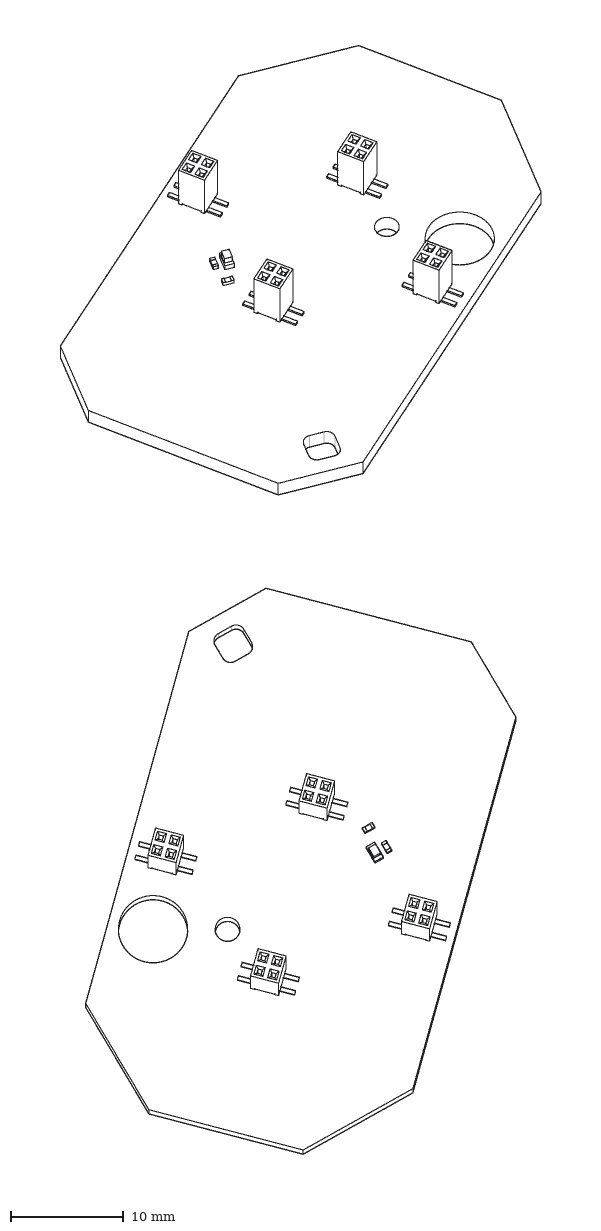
import cadquery as cq
BOARD_WIDTH = 30.0
BOARD_LENGTH = 48.65
BOARD_THICKNESS = 1.6
REAR_CORNER_CUT = 7.95
FRONT_CORNER_CUT = 5.6

SEATING_GAP = 0.05
SEAT_HEIGHT = BOARD_THICKNESS + SEATING_GAP

LARGE_HOLE_DIAMETER = 6.15
LARGE_HOLE_CENTER = (11.0, 8.3)
SMALL_HOLE_DIAMETER = 2.2
SMALL_HOLE_CENTER = (4.6, 6.6)
DIAMOND_SIDE = 2.9
DIAMOND_CORNER_RADIUS = 0.8
DIAMOND_CENTER = (10.9, -18.65)

OVERALL_HEIGHT = 6.45
CROSS_CENTER = (-0.05, 1.8)
CROSS_REACH_X = 11.6
CROSS_REACH_Y = 8.25
HEADER_WIDTH = 2.6
HEADER_STANDOFF = 0.25
CHANNEL_WIDTH = 1.85
CHANNEL_DEPTH = 0.15
CONTACT_PITCH = 1.25
ENTRY_WIDTH = 0.85
ENTRY_DEPTH = 0.3
BORE_WIDTH = 0.4
BORE_DEPTH = 2.9
LEAD_SPAN = 5.25
LEAD_WIDTH = 0.4
LEAD_THICKNESS = 0.2
LEG_INNER_X = 0.6

LED_CENTER = (-6.2, -3.45)
LED_ANGLE = -45
LED_BASE_LENGTH = 1.55
LED_BASE_WIDTH = 0.88
LED_BASE_HEIGHT = 0.55
LED_LENS_LENGTH = 0.9
LED_LENS_WIDTH = 0.75
LED_HEIGHT = 1.1
CHIP_PLACES = [(-7.05, -4.25, -45), (-5.05, -5.5, 45)]
CHIP_LENGTH = 1.0
CHIP_WIDTH = 0.5
CHIP_HEIGHT = 0.4
TERMINAL_LENGTH = 0.25
TERMINAL_STEP = 0.05


def box_on(length, width, height, base=0.0):
    """Box centred in X and Y with its underside at the given height."""
    return cq.Workplane("XY", origin=(0, 0, base)).box(
        length, width, height, centered=(True, True, False)
    )


def make_board():
    side_x = BOARD_WIDTH / 2
    end_y = BOARD_LENGTH / 2
    rear_x = side_x - REAR_CORNER_CUT
    front_x = side_x - FRONT_CORNER_CUT
    rear_y = end_y - REAR_CORNER_CUT
    front_y = end_y - FRONT_CORNER_CUT
    board = (
        cq.Workplane("XY")
        .polyline([
            (-front_x, -end_y), (front_x, -end_y),
            (side_x, -front_y), (side_x, rear_y),
            (rear_x, end_y), (-rear_x, end_y),
            (-side_x, rear_y), (-side_x, -front_y),
        ])
        .close()
        .extrude(BOARD_THICKNESS)
    )
    large_hole = (
        cq.Workplane("XY").center(*LARGE_HOLE_CENTER)
        .circle(LARGE_HOLE_DIAMETER / 2).extrude(BOARD_THICKNESS)
    )
    small_hole = (
        cq.Workplane("XY").center(*SMALL_HOLE_CENTER)
        .circle(SMALL_HOLE_DIAMETER / 2).extrude(BOARD_THICKNESS)
    )
    diamond = (
        box_on(DIAMOND_SIDE, DIAMOND_SIDE, BOARD_THICKNESS)
        .edges("|Z").fillet(DIAMOND_CORNER_RADIUS)
        .rotate((0, 0, 0), (0, 0, 1), 45)
        .translate((*DIAMOND_CENTER, 0))
    )
    return board.cut(large_hole).cut(small_hole).cut(diamond)


def make_contact_opening(top):
    """Square bore with a tapered square entry, opening upward at the given height."""
    entry = (
        cq.Workplane("XY", origin=(0, 0, top))
        .rect(ENTRY_WIDTH, ENTRY_WIDTH)
        .workplane(offset=-ENTRY_DEPTH)
        .rect(BORE_WIDTH, BORE_WIDTH)
        .loft(ruled=True)
    )
    return entry.union(box_on(BORE_WIDTH, BORE_WIDTH, BORE_DEPTH, top - BORE_DEPTH))


def make_lead():
    """Lead on the +X side: a flat foot and a short leg up to the channel roof."""
    foot_length = LEAD_SPAN / 2 - LEG_INNER_X
    foot = box_on(foot_length, LEAD_WIDTH, LEAD_THICKNESS)
    leg_length = CHANNEL_WIDTH / 2 - LEG_INNER_X
    leg = box_on(leg_length, LEAD_WIDTH, HEADER_STANDOFF + CHANNEL_DEPTH)
    return (
        foot.translate((LEG_INNER_X + foot_length / 2, 0, 0))
        .union(leg.translate((LEG_INNER_X + leg_length / 2, 0, 0)))
    )


def make_header():
    """Socket header standing on Z = 0, with its four leads as one solid."""
    top = OVERALL_HEIGHT - SEAT_HEIGHT
    block = box_on(HEADER_WIDTH, HEADER_WIDTH, top - HEADER_STANDOFF, HEADER_STANDOFF)
    channel = box_on(CHANNEL_WIDTH, HEADER_WIDTH, CHANNEL_DEPTH, HEADER_STANDOFF)
    header = block.cut(channel)
    opening = make_contact_opening(top)
    right_lead = make_lead()
    left_lead = right_lead.mirror("YZ")
    half_pitch = CONTACT_PITCH / 2
    for y in (-half_pitch, half_pitch):
        for x, lead in ((-half_pitch, left_lead), (half_pitch, right_lead)):
            header = header.cut(opening.translate((x, y, 0)))
            header = header.union(lead.translate((0, y, 0)))
    return header


def make_led():
    base = box_on(LED_BASE_LENGTH, LED_BASE_WIDTH, LED_BASE_HEIGHT)
    lens_height = LED_HEIGHT - LED_BASE_HEIGHT
    lens = box_on(LED_LENS_LENGTH, LED_LENS_WIDTH, lens_height, LED_BASE_HEIGHT)
    return base.union(lens)


def make_chip():
    """Chip with a terminal cap at each end, standing slightly above the middle."""
    chip = box_on(CHIP_LENGTH, CHIP_WIDTH, CHIP_HEIGHT)
    middle_length = CHIP_LENGTH - 2 * TERMINAL_LENGTH
    return chip.cut(box_on(middle_length, CHIP_WIDTH, TERMINAL_STEP, CHIP_HEIGHT - TERMINAL_STEP))


def place_on_board(body, x, y, angle=0):
    """Turn a body about its own vertical axis and seat it above the board."""
    return body.rotate((0, 0, 0), (0, 0, 1), angle).translate((x, y, SEAT_HEIGHT))


board = make_board()

cross_x, cross_y = CROSS_CENTER
header_centers = [
    (cross_x - CROSS_REACH_X, cross_y),
    (cross_x + CROSS_REACH_X, cross_y),
    (cross_x, cross_y - CROSS_REACH_Y),
    (cross_x, cross_y + CROSS_REACH_Y),
]
headers = [place_on_board(make_header(), x, y) for x, y in header_centers]

led = place_on_board(make_led(), *LED_CENTER, LED_ANGLE)

chips = [place_on_board(make_chip(), x, y, angle) for x, y, angle in CHIP_PLACES]

result = cq.Compound.makeCompound([
    board.val(),
    *[header.val() for header in headers],
    led.val(),
    *[chip.val() for chip in chips],
])